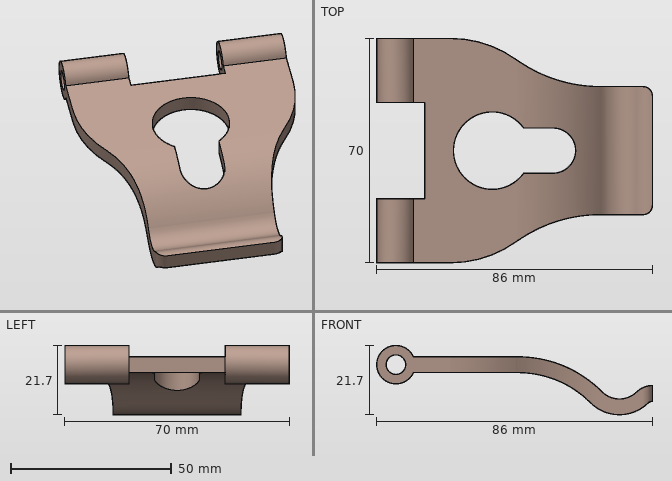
import cadquery as cq
import math

length = 86.0
width = 70.0
thickness = 5.0

barrel_diameter = 12.0
pin_diameter = 6.0
barrel_length = 20.0
barrel_gap = width - 2 * barrel_length
gap_depth = 15.0
rear_x = -barrel_diameter / 2
tip_x = rear_x + length

bend_start_x = 38.0
bend_radius = 34.5
trough_radius = 10.15
crest_radius = 5.0
trough_drop = 13.15
crest_rise = 4.2

tip_width = 40.0
shoulder_x = 17.0
shoulder_radius = 35.0
tip_corner_radius = 3.0
neck_radius = 45.0
neck_angle = math.acos(1 - (width - tip_width) / 2 / (shoulder_radius + neck_radius))

keyhole_x = 30.0
keyhole_diameter = 24.1
keyhole_slot_width = 14.0
keyhole_slot_end_x = 56.0

fall_angle = math.acos(1 - trough_drop / (bend_radius + trough_radius))
rise_angle = math.acos(1 - crest_rise / (trough_radius + crest_radius))

bend_center = (bend_start_x, -bend_radius)
trough_center = (
    bend_start_x + (bend_radius + trough_radius) * math.sin(fall_angle),
    trough_radius - trough_drop,
)
crest_center = (
    trough_center[0] + (trough_radius + crest_radius) * math.sin(rise_angle),
    crest_rise - trough_drop - crest_radius,
)


def polar(center, radius, angle):
    """Point on a circle, with the angle measured from straight up towards +X."""
    return (
        center[0] + radius * math.sin(angle),
        center[1] + radius * math.cos(angle),
    )


def profile_curve(offset):
    """Points of three tangent arcs, offset upwards from mid thickness."""
    bend = bend_radius + offset
    trough = trough_radius - offset
    crest = crest_radius + offset
    return [
        polar(bend_center, bend, 0),
        polar(bend_center, bend, fall_angle / 2),
        polar(bend_center, bend, fall_angle),
        polar(trough_center, trough, math.pi),
        polar(trough_center, trough, math.pi - rise_angle),
        polar(crest_center, crest, -rise_angle / 2),
        polar(crest_center, crest, 0),
    ]


def bent_plate():
    """Side profile extruded over the full width."""
    upper = profile_curve(thickness / 2)
    lower = profile_curve(-thickness / 2)[::-1]
    profile = cq.Workplane("XZ").moveTo(0, thickness / 2).lineTo(*upper[0])
    for middle, end in zip(upper[1::2], upper[2::2]):
        profile = profile.threePointArc(middle, end)
    profile = profile.lineTo(*lower[0])
    for middle, end in zip(lower[1::2], lower[2::2]):
        profile = profile.threePointArc(middle, end)
    profile = profile.lineTo(0, -thickness / 2).close()
    return profile.extrude(width / 2, both=True)


def plan_outline():
    """Vertical block with the plan shape of the plate."""
    shoulder_center = (shoulder_x, width / 2 - shoulder_radius)
    neck_end_x = shoulder_x + (shoulder_radius + neck_radius) * math.sin(neck_angle)
    neck_center = (neck_end_x, tip_width / 2 + neck_radius)
    half = (
        cq.Workplane("XY")
        .moveTo(rear_x, 0)
        .lineTo(rear_x, width / 2)
        .lineTo(shoulder_x, width / 2)
        .threePointArc(
            polar(shoulder_center, shoulder_radius, neck_angle / 2),
            polar(shoulder_center, shoulder_radius, neck_angle),
        )
        .threePointArc(
            polar(neck_center, neck_radius, math.pi + neck_angle / 2),
            (neck_end_x, tip_width / 2),
        )
        .lineTo(tip_x, tip_width / 2)
        .lineTo(tip_x, 0)
        .close()
        .extrude(width / 2, both=True)
    )
    block = half.union(half.mirror("XZ"))
    return block.edges("|Z and >X").fillet(tip_corner_radius)


def keyhole():
    """Round opening with a narrower round-ended slot towards the tip."""
    slot_length = keyhole_slot_end_x - keyhole_slot_width / 2 - keyhole_x
    slot_center_x = keyhole_x + slot_length / 2
    opening = (
        cq.Workplane("XY")
        .center(keyhole_x, 0)
        .circle(keyhole_diameter / 2)
        .extrude(width / 2, both=True)
    )
    slot = (
        cq.Workplane("XY")
        .center(slot_center_x, 0)
        .slot2D(slot_length + keyhole_slot_width, keyhole_slot_width)
        .extrude(width / 2, both=True)
    )
    return opening.union(slot)


def hinge_cylinder(diameter):
    """Cylinder on the hinge axis over the full width."""
    return cq.Workplane("XZ").circle(diameter / 2).extrude(width / 2, both=True)


hinge_gap = cq.Workplane("XY").box(
    gap_depth, barrel_gap, barrel_diameter, centered=(False, True, True)
).translate((rear_x, 0, 0))

result = (
    bent_plate()
    .intersect(plan_outline())
    .union(hinge_cylinder(barrel_diameter))
    .cut(hinge_cylinder(pin_diameter))
    .cut(hinge_gap)
    .cut(keyhole())
)